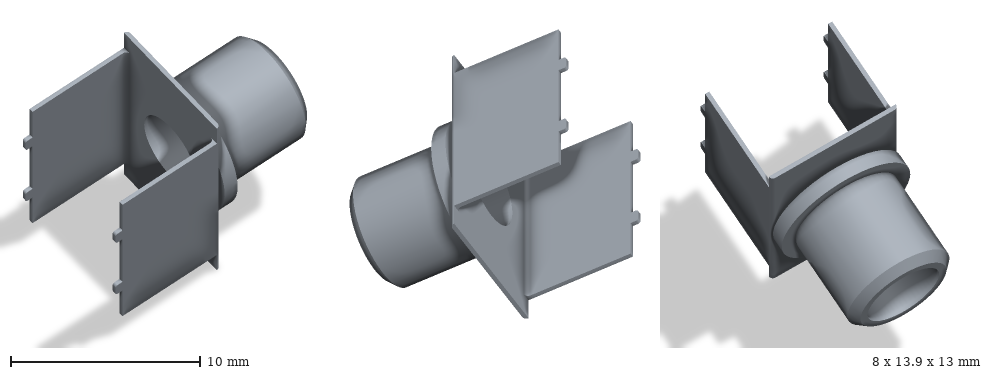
import cadquery as cq
import math

sheet = 0.25
bracket_width = 7.9
plate_height = 13.0
bend_radius = sheet

wall_height = 10.23
wall_end = 6.6

tab_length = 0.46
tab_height = 0.8
tab_pitch = 4.72
tab_radius = 0.14

bore_diameter = 4.45
neck_diameter = 4.7
neck_length = 0.25
flange_diameter = 8.0
flange_thickness = 0.87
body_diameter = 6.35
body_length = 5.73
body_chamfer = 0.5

half_width = bracket_width / 2
arc_middle = bend_radius * math.sqrt(0.5)


def y_cylinder(diameter, y_start, length):
    """Cylinder about the Y axis, starting at y_start and growing toward +Y."""
    start = cq.Vector(0, y_start, 0)
    return cq.Workplane(cq.Solid.makeCylinder(diameter / 2, length, start, cq.Vector(0, 1, 0)))


def face_plate():
    """Full-height plate whose two outer vertical corners are rounded."""
    arc_x = half_width - bend_radius
    return (
        cq.Workplane("XY", origin=(0, 0, -plate_height / 2))
        .moveTo(-half_width, -sheet)
        .lineTo(half_width, -sheet)
        .threePointArc((arc_x + arc_middle, arc_middle - bend_radius), (arc_x, 0))
        .lineTo(-arc_x, 0)
        .threePointArc((-arc_x - arc_middle, arc_middle - bend_radius), (-half_width, -sheet))
        .close()
        .extrude(plate_height)
    )


def solder_tab():
    """Tab centred on the origin, with the corners of its free (-Y) end rounded."""
    return cq.Workplane("XY").box(sheet, tab_length, tab_height).edges("|X and <Y").fillet(tab_radius)


def side_wall(side):
    """Wall on the given side (-1 or +1) with its inside bend and two tabs."""
    outer_x = side * half_width
    inner_x = outer_x - side * sheet
    bend_x = inner_x - side * bend_radius
    bend_y = -sheet - bend_radius
    wall = (
        cq.Workplane("XY", origin=(0, 0, -wall_height / 2))
        .moveTo(outer_x, -sheet)
        .lineTo(outer_x, -wall_end)
        .lineTo(inner_x, -wall_end)
        .lineTo(inner_x, bend_y)
        .threePointArc((bend_x + side * arc_middle, bend_y + arc_middle), (bend_x, -sheet))
        .close()
        .extrude(wall_height)
    )
    tab_x = (outer_x + inner_x) / 2
    tab_y = -wall_end - tab_length / 2
    for tab_z in (-tab_pitch / 2, tab_pitch / 2):
        wall = wall.union(solder_tab().translate((tab_x, tab_y, tab_z)))
    return wall


def barrel():
    """Neck, flange and chamfered body stacked along +Y."""
    body_start = neck_length + flange_thickness
    neck = y_cylinder(neck_diameter, 0, neck_length)
    flange = y_cylinder(flange_diameter, neck_length, flange_thickness)
    body = y_cylinder(body_diameter, body_start, body_length).faces(">Y").chamfer(body_chamfer)
    return neck.union(flange).union(body)


def bore():
    """Hole through the plate and the whole barrel."""
    length = sheet + neck_length + flange_thickness + body_length
    return y_cylinder(bore_diameter, -sheet, length)


bracket = face_plate().union(side_wall(-1)).union(side_wall(1))
result = bracket.union(barrel()).cut(bore())